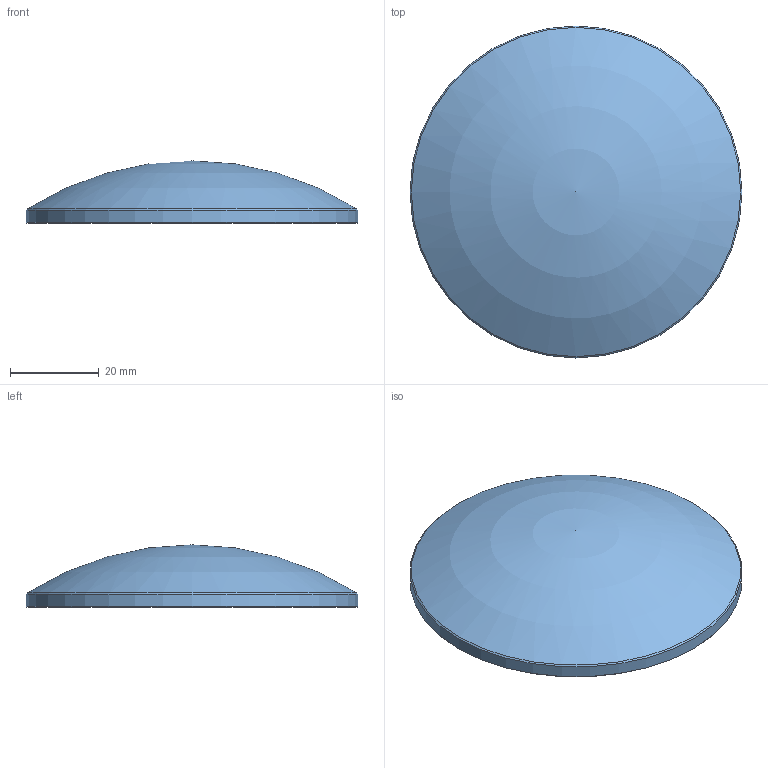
import cadquery as cq
import math

diameter = 75.0
total_height = 14.04
dome_radius = 69.3
top_bevel = 0.3
bottom_bevel = 0.2

rim_radius = diameter / 2
dome_edge_radius = rim_radius - top_bevel
dome_center_z = total_height - dome_radius


def dome_height(radius):
    """Height of the dome surface at a given distance from the axis."""
    return dome_center_z + math.sqrt(dome_radius**2 - radius**2)


def half_profile():
    """Closed outline in the XZ plane, from the axis out to the rim."""
    dome_edge_z = dome_height(dome_edge_radius)
    mid_radius = dome_edge_radius / 2
    return (
        cq.Workplane("XZ")
        .lineTo(rim_radius - bottom_bevel, 0)
        .lineTo(rim_radius, bottom_bevel)
        .lineTo(rim_radius, dome_edge_z - top_bevel)
        .lineTo(dome_edge_radius, dome_edge_z)
        .threePointArc((mid_radius, dome_height(mid_radius)), (0, total_height))
        .close()
    )


result = half_profile().revolve(360, (0, 0, 0), (0, 1, 0))